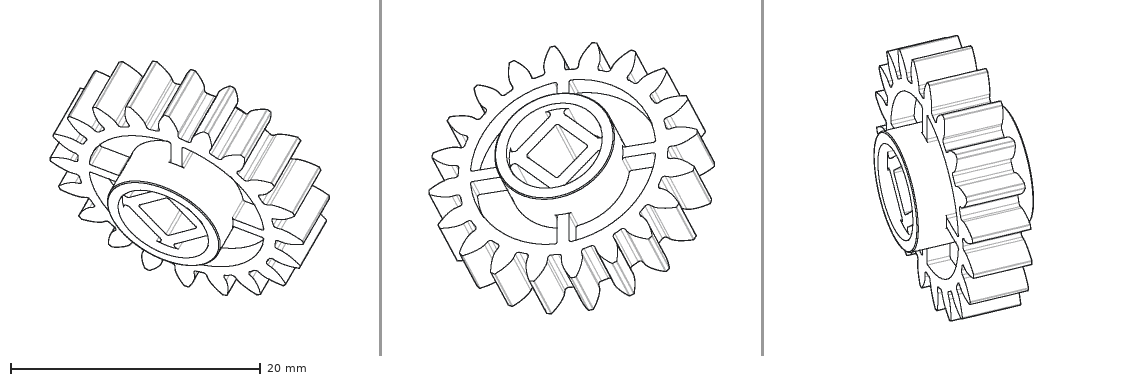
import cadquery as cq
import math

hub_diameter = 10.0
hub_radius = hub_diameter / 2
hub_length = hub_diameter
hub_edge_chamfer = 0.1

module = hub_diameter / 10
tooth_count = 20
pressure_angle = math.radians(20)
first_tooth_angle = 4.5
tip_radius = 11.23
tip_corner_radius = 0.07
root_radius = 8.76
root_fillet = 0.27
foot_overlap = 0.22
flank_steps = 6
face_width = 5 * module

rim_inner_radius = 7.75
spoke_width = module
web_thickness = module
web_pocket_fillet = 0.2

bore_radius = 8.0 / 2
bore_recess = 0.8
square_hole_side = 3.7
square_hole_fillet = 0.2
square_tube_side = 5.7
tube_pocket_fillet = 0.31
tube_pocket_floor = module

pitch_radius = module * tooth_count / 2
base_radius = pitch_radius * math.cos(pressure_angle)
tooth_step = 360 / tooth_count


def plane_at(y):
    """Workplane at a given Y; its local axes are X and Z, and it extrudes toward -Y."""
    return cq.Workplane("XZ", origin=(0, y, 0))


def turned(body, angle):
    """Body turned about the gear axis, counter-clockwise when seen from -Y."""
    return body.rotate((0, 0, 0), (0, 1, 0), -angle)


def cut_both_sides(body, cutter):
    """Cut a shape from the front and its mirror image from the back."""
    return body.cut(cutter).cut(cutter.mirror("XZ"))


def involute(angle):
    return math.tan(angle) - angle


def tooth_half_angle(radius):
    """Half of the angle, in radians, that a tooth spans at a radius on its involute flank."""
    flank_angle = math.acos(base_radius / radius)
    return math.pi / (2 * tooth_count) + involute(pressure_angle) - involute(flank_angle)


def polar(radius, angle):
    return radius * math.cos(angle), radius * math.sin(angle)


def make_tooth():
    """One tooth pointing along +X."""
    flank_height = tip_radius - base_radius
    radii = [base_radius + flank_height * (i / flank_steps) ** 2 for i in range(flank_steps + 1)]
    lower_flank = [polar(radius, -tooth_half_angle(radius)) for radius in radii]
    upper_flank = [(x, -y) for x, y in reversed(lower_flank)]
    foot_radius = root_radius - foot_overlap
    foot_half_angle = tooth_half_angle(base_radius)
    tooth = (
        plane_at(face_width / 2)
        .moveTo(*polar(foot_radius, -foot_half_angle))
        .lineTo(*lower_flank[0])
        .spline(lower_flank[1:], includeCurrent=True)
        .threePointArc((tip_radius, 0), upper_flank[0])
        .spline(upper_flank[1:], includeCurrent=True)
        .lineTo(*polar(foot_radius, foot_half_angle))
        .close()
        .extrude(face_width)
    )
    tip_edges = tooth.edges("|Y").filter(lambda edge: edge.Center().x > pitch_radius)
    return tip_edges.fillet(tip_corner_radius)


def make_gear_blank():
    """Toothed disc with rounded tooth roots."""
    blank = plane_at(face_width / 2).circle(root_radius).extrude(face_width)
    tooth = make_tooth()
    teeth = [turned(tooth, first_tooth_angle + i * tooth_step).val() for i in range(tooth_count)]
    blank = blank.union(cq.Workplane("XZ").newObject(teeth))
    root_limit = (root_radius + base_radius) / 2
    root_edges = blank.edges("|Y").filter(
        lambda edge: math.hypot(edge.Center().x, edge.Center().z) < root_limit
    )
    return root_edges.fillet(root_fillet)


def make_web_pockets():
    """The four front pockets between the spokes."""
    depth = (face_width - web_thickness) / 2
    floor = plane_at(-web_thickness / 2)
    pockets = floor.circle(rim_inner_radius).circle(hub_radius).extrude(depth)
    spoke_pair = floor.rect(2 * rim_inner_radius, spoke_width).extrude(depth)
    pockets = pockets.cut(spoke_pair).cut(turned(spoke_pair, 90))
    return pockets.edges("|Y").fillet(web_pocket_fillet)


def make_hub():
    hub = plane_at(hub_length / 2).circle(hub_radius).extrude(hub_length)
    return hub.faces("<Y or >Y").edges().chamfer(hub_edge_chamfer)


def make_bore_recess():
    return plane_at(bore_recess - hub_length / 2).circle(bore_radius).extrude(bore_recess)


def make_tube_pocket():
    """Front pocket between one flat of the square tube and the bore, on the +X side."""
    depth = (hub_length - tube_pocket_floor) / 2
    flat = square_tube_side / 2
    half_chord = math.sqrt(bore_radius**2 - flat**2)
    pocket = (
        plane_at(-tube_pocket_floor / 2)
        .moveTo(flat, -half_chord)
        .threePointArc((bore_radius, 0), (flat, half_chord))
        .close()
        .extrude(depth)
    )
    return pocket.edges("|Y").fillet(tube_pocket_fillet)


def make_square_hole():
    """Square through hole standing on a corner."""
    hole = plane_at(hub_length / 2).rect(square_hole_side, square_hole_side).extrude(hub_length)
    return turned(hole.edges("|Y").fillet(square_hole_fillet), 45)


hub = make_hub()
tube_pocket = make_tube_pocket()
for pocket_angle in (45, 135, 225, 315):
    hub = cut_both_sides(hub, turned(tube_pocket, pocket_angle))
hub = cut_both_sides(hub, make_bore_recess())
hub = hub.cut(make_square_hole())

gear = cut_both_sides(make_gear_blank(), make_web_pockets())
gear = gear.cut(plane_at(hub_length / 2).circle(hub_radius).extrude(hub_length))
result = cq.Workplane(gear.union(hub).solids().val())